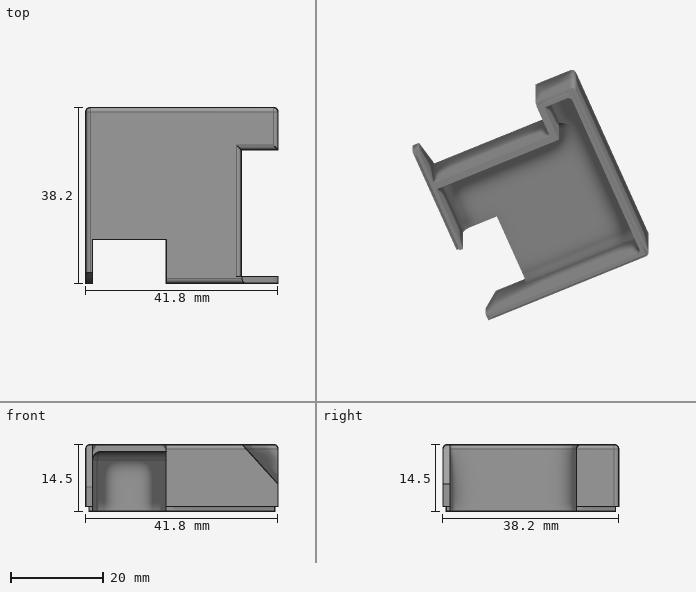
import cadquery as cq

LENGTH = 41.8
DEPTH = 38.2
HEIGHT = 14.5
WALL = 1.5

OUTER_RADIUS = 1.0
INNER_ROOF_RADIUS = 1.9
INNER_CORNER_RADIUS = 1.0

LIP_HEIGHT = 1.0
LIP_INSET = 0.7

RECESS_X = LENGTH - 8.0
RECESS_BACK_Y = DEPTH - 9.2

NOTCH_WIDTH = 16.0
NOTCH_DEPTH = 9.5

TAB_SLOPE_LENGTH = 7.8
TAB_SLOPE_DROP = 8.6
LEFT_SLOPE_LENGTH = 2.4
LEFT_SLOPE_DROP = 9.2


def box(x_min, x_max, y_min, y_max, z_min, z_max):
    """Box given by its limits along each axis."""
    size = (x_max - x_min, y_max - y_min, z_max - z_min)
    return cq.Workplane("XY").box(*size, centered=False).translate((x_min, y_min, z_min))


def stepped_block(inset, height):
    """Prism of the roof outline, shrunk by an inset on every side."""
    return (
        cq.Workplane("XY")
        .polyline([
            (inset, inset),
            (RECESS_X - inset, inset),
            (RECESS_X - inset, RECESS_BACK_Y + inset),
            (LENGTH - inset, RECESS_BACK_Y + inset),
            (LENGTH - inset, DEPTH - inset),
            (inset, DEPTH - inset),
        ])
        .close()
        .extrude(height)
    )


def outer_block():
    """Solid outer shape with rounded rear corners and a rounded roof rim."""
    block = stepped_block(0, HEIGHT)
    block = block.faces(">Y").edges("|Z").fillet(OUTER_RADIUS)
    return block.faces(">Z").edges().fillet(OUTER_RADIUS)


def cavity():
    """Hollow under the roof, with rounded rear corners and a rounded ceiling rim."""
    hollow = stepped_block(WALL, HEIGHT - WALL)
    hollow = hollow.faces(">Z").edges().fillet(INNER_ROOF_RADIUS)
    return hollow.faces(">Y").edges("|Z").fillet(INNER_CORNER_RADIUS)


def front_tab():
    """Front wall continued past the recess, with its top end sloped off."""
    start_x = RECESS_X - WALL
    tab = box(start_x, LENGTH, 0, WALL, 0, HEIGHT)
    tab = tab.edges("<Y and >Z").fillet(OUTER_RADIUS)
    slope = (
        cq.Workplane("XZ")
        .polyline([
            (LENGTH - TAB_SLOPE_LENGTH, HEIGHT),
            (LENGTH, HEIGHT),
            (LENGTH, HEIGHT - TAB_SLOPE_DROP),
        ])
        .close()
        .extrude(-WALL)
    )
    return tab.cut(slope)


def left_wall_slope():
    """Wedge that slopes off the front end of the left wall."""
    return (
        cq.Workplane("YZ")
        .polyline([
            (0, HEIGHT - LEFT_SLOPE_DROP),
            (0, HEIGHT),
            (LEFT_SLOPE_LENGTH, HEIGHT),
        ])
        .close()
        .extrude(WALL)
    )


def front_notch():
    """Opening through the front wall and the roof."""
    return box(WALL, WALL + NOTCH_WIDTH, 0, NOTCH_DEPTH, 0, HEIGHT)


def lip_relief():
    """Ring that sets the foot of the walls back from the outer faces."""
    envelope = box(0, LENGTH, 0, DEPTH, 0, LIP_HEIGHT)
    lip_zone = box(
        LIP_INSET, LENGTH - LIP_INSET,
        LIP_INSET, DEPTH - LIP_INSET,
        0, LIP_HEIGHT,
    )
    return envelope.cut(lip_zone)


shell = outer_block().cut(cavity())
shell = shell.union(front_tab().cut(cavity()))
shell = shell.cut(front_notch())
shell = shell.cut(left_wall_slope())
result = shell.cut(lip_relief())